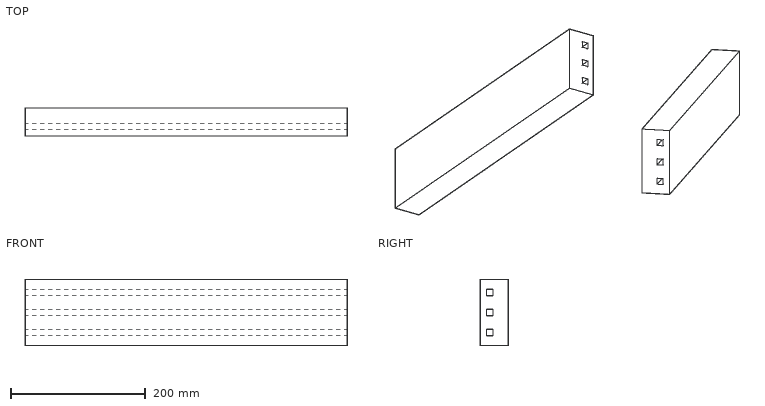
import cadquery as cq

length = 479.0
thickness = 42.0
height = 98.0

channel_count = 3
channel_side = 9.0
channel_pitch = 29.5
front_face_to_channel = 14.5

channel_y = front_face_to_channel - thickness / 2


def make_bar():
    return cq.Workplane("XY").box(length, thickness, height)


def cut_channels(bar):
    """Cut a vertical row of through channels, centred on the bar's height."""
    for index in range(channel_count):
        channel_z = (index - (channel_count - 1) / 2) * channel_pitch
        channel = cq.Workplane("XY").box(length, channel_side, channel_side)
        bar = bar.cut(channel.translate((0, channel_y, channel_z)))
    return bar


result = cut_channels(make_bar())